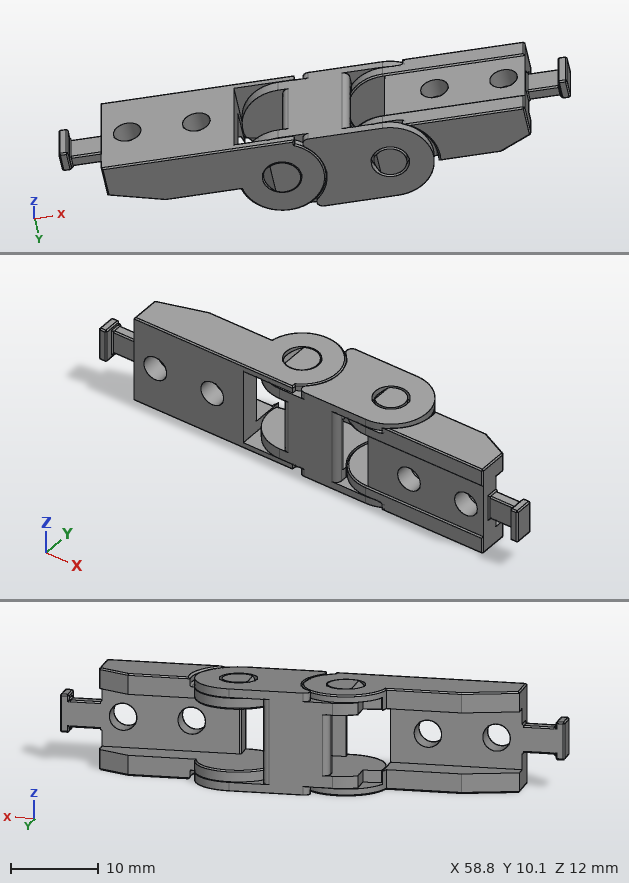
import cadquery as cq
import math


half_width = 6.0
radius = 5.0
cheek_inner = 5.0
channel_half = 3.6
clearance = 0.09
hinge_gap = 0.1
edge_chamfer = 0.2
pivot_spacing = 12.5

left_half_width = 5.95
leaf_height = 5.95
leaf_end_height = 4.05
floor_thickness = 2.6
left_length = 20.0
left_taper = 6.35
left_shift = (0, 0.05, 0.05)
left_window_start = -4.65
left_toe = 2.3
right_length = 16.45
right_taper = 3.8
right_floor_start = 0.25
right_recess_gap = 0.5
recess_round = 0.25
strip_depth = 0.2
screw_diameter = 3.2
left_screws = (-17.0, -9.0)
right_screws = (6.0, 14.0)

left_hook_reach = 4.95
right_hook_reach = 4.9
hook_neck_half_width = 1.6
hook_neck_thickness = 1.4
hook_head_half_width = 2.25
hook_head_length = 1.05
hook_chamfer = 0.2
root_flare = 0.2

front_web_thickness = 1.05
back_web_thickness = 1.5
web_round = 0.75
web_start = 0.9
web_end = 8.65
nose_radius = 0.7
knuckle_offset = 0.45
notch_x = -2.3
notch_y = 1.6
notch_rim_y = 1.2

left_boss_radius = 2.1
left_hole_radius = 2.25
left_ramp_start = -1.05
right_boss_radius = 1.9
right_hole_radius = 2.2
right_ramp_start = -1.35
ramp_depth = 0.4


def block(x0, x1, y0, y1, z0, z1):
    return cq.Workplane("XY").box(x1 - x0, y1 - y0, z1 - z0, centered=False).translate((x0, y0, z0))


def prism(outline, z0, z1):
    """Extrude a Workplane outline between two heights."""
    return outline.extrude(z1 - z0).translate((0, 0, z0))


def disc(x, r, z0, z1):
    return prism(cq.Workplane("XY").center(x, 0).circle(r), z0, z1)


def both_sides(solid):
    return solid.union(solid.mirror("XY"))


def boss(x, r, ramp_start):
    """Hinge boss on the +Z side, with a lead-in ramp toward -X."""
    pin = disc(x, r, cheek_inner, half_width)
    ramp = (
        cq.Workplane("XZ")
        .moveTo(x + ramp_start, half_width)
        .lineTo(x - r, half_width)
        .lineTo(x - r, half_width - ramp_depth)
        .close()
        .extrude(r, both=True)
    )
    return pin.cut(ramp)


def leaf_bar(hinge_end, end, taper, half):
    """Full-width bar whose back slopes down toward its outer end."""
    slope_start = end - math.copysign(taper, end - hinge_end)
    outline = cq.Workplane("XY").polyline([
        (hinge_end, -radius),
        (end, -radius),
        (end, leaf_end_height - radius),
        (slope_start, leaf_height - radius),
        (hinge_end, leaf_height - radius),
    ]).close()
    return prism(outline, -half, half)


def neck_section(x, top, growth):
    """Neck outline at x, grown at the sides and underside but not at the top."""
    bottom = top - hook_neck_thickness - growth
    half = hook_neck_half_width + growth
    return cq.Wire.makePolygon([
        cq.Vector(x, bottom, -half),
        cq.Vector(x, top, -half),
        cq.Vector(x, top, half),
        cq.Vector(x, bottom, half),
    ], close=True)


def neck_root(wall, direction, top):
    """Flare of a hook neck, widest at the wall it meets."""
    wide = neck_section(wall, top, root_flare)
    slim = neck_section(wall + direction * root_flare, top, 0)
    return cq.Workplane(cq.Solid.makeLoft([wide, slim], True))


def hook(end, reach):
    """Neck with a wider hooked head on the end face at x = end."""
    tip = end + reach
    head_back = tip - math.copysign(hook_head_length, reach)
    head_top = floor_thickness - radius
    head_middle = (head_back + tip) / 2
    neck = block(
        min(end, head_middle), max(end, head_middle), head_top - hook_neck_thickness, head_top,
        -hook_neck_half_width, hook_neck_half_width,
    ).edges("|X").chamfer(hook_chamfer)
    head = block(
        min(head_back, tip), max(head_back, tip), -radius, head_top,
        -hook_head_half_width, hook_head_half_width,
    ).edges().chamfer(hook_chamfer)
    outward = math.copysign(1, reach)
    flares = neck_root(end, outward, head_top).union(neck_root(head_back, -outward, head_top))
    return neck.union(head).union(flares)


def screw_holes(places):
    return (
        cq.Workplane("XZ")
        .pushPoints([(x, 0) for x in places])
        .circle(screw_diameter / 2)
        .extrude(radius, both=True)
    )


def make_left_leaf():
    window_half = cheek_inner + clearance
    bar = leaf_bar(0, -left_length, left_taper, left_half_width)
    toe = block(0, left_toe, -radius, 0, -left_half_width, left_half_width)
    leaf = bar.union(toe).union(disc(0, radius, -left_half_width, left_half_width)).clean()
    leaf = leaf.faces("<Z or >Z").edges().chamfer(edge_chamfer)
    leaf = leaf.cut(block(
        left_window_start, radius, -radius, radius, -window_half, window_half))
    leaf = leaf.cut(block(
        -left_length, left_window_start, floor_thickness - radius, radius, -channel_half, channel_half))
    leaf = leaf.cut(disc(0, left_hole_radius, -half_width, half_width))
    leaf = leaf.cut(screw_holes(left_screws))
    leaf = leaf.union(hook(-left_length, -left_hook_reach))
    return leaf.translate(left_shift)


def cheek_recess():
    """Room for one left-leaf cheek, leaving rounded noses on the link beside it."""
    recess_radius = radius + hinge_gap
    nose_y = radius - nose_radius
    nose_x = math.sqrt((recess_radius + nose_radius) ** 2 - nose_y ** 2)
    blend = recess_radius / (recess_radius + nose_radius)
    tangent = (nose_x * blend, nose_y * blend)
    nose_mid = (nose_x - nose_radius, nose_y)
    nose_top = (nose_x, radius)
    far = -2 * radius
    outline = (
        cq.Workplane("XY")
        .moveTo(far, -radius)
        .lineTo(nose_top[0], -nose_top[1])
        .threePointArc((nose_mid[0], -nose_mid[1]), (tangent[0], -tangent[1]))
        .threePointArc((recess_radius, 0), tangent)
        .threePointArc(nose_mid, nose_top)
        .lineTo(far, radius)
        .close()
    )
    return prism(outline, cheek_inner, half_width)


def make_link():
    left_end = knuckle_offset - radius
    right_end = pivot_spacing + radius
    outline = (
        cq.Workplane("XY")
        .moveTo(knuckle_offset, -radius)
        .lineTo(pivot_spacing, -radius)
        .threePointArc((right_end, 0), (pivot_spacing, radius))
        .lineTo(knuckle_offset, radius)
        .threePointArc((left_end, 0), (knuckle_offset, -radius))
        .close()
    )
    link = prism(outline, -half_width, half_width)
    link = link.cut(both_sides(cheek_recess()))

    left_channel = block(
        left_end, web_start, -radius, radius, -channel_half, channel_half)
    right_channel = block(
        web_end, right_end, -radius, radius, -cheek_inner, cheek_inner)
    link = link.cut(left_channel).cut(right_channel)
    for x in (web_start, web_end):
        for y in (-radius, radius):
            link = link.edges(cq.selectors.NearestToPointSelector((x, y, 0))).fillet(web_round)

    link = link.cut(block(
        0, web_end, front_web_thickness - radius, radius - back_web_thickness, -channel_half, channel_half))
    link = link.cut(disc(pivot_spacing, radius + hinge_gap, -cheek_inner, cheek_inner))

    notch = cq.Workplane("XY").polyline([
        (notch_x, radius),
        (notch_x, notch_y),
        (left_end, notch_rim_y),
        (left_end, radius),
    ]).close()
    link = link.cut(prism(notch, -half_width, half_width))
    link = link.cut(disc(pivot_spacing, right_hole_radius, -half_width, half_width))
    return link.union(both_sides(boss(0, left_boss_radius, left_ramp_start)))


def front_strip():
    """Bevelled strip removed from the front of the right leaf, as wide as the channel."""
    front_half = channel_half + strip_depth
    outline = cq.Workplane("YZ").polyline([
        (-radius, -front_half),
        (strip_depth - radius, -channel_half),
        (strip_depth - radius, channel_half),
        (-radius, front_half),
    ]).close()
    return outline.extrude(right_length)


def make_right_leaf():
    """Built about its own hinge axis, then moved into place."""
    knuckle_half = cheek_inner - clearance
    recess_radius = radius + right_recess_gap
    leaf = leaf_bar(0, right_length, right_taper, half_width)
    leaf = leaf.faces("<Z or >Z or >X").edges("not <X").chamfer(edge_chamfer)

    recess = disc(0, recess_radius, knuckle_half, half_width).faces("<Z").edges().fillet(recess_round)
    rim = (
        cq.Workplane("XY").workplane(offset=half_width - recess_round)
        .circle(recess_radius)
        .workplane(offset=recess_round)
        .circle(recess_radius + recess_round)
        .loft()
    )
    leaf = leaf.cut(both_sides(recess.union(rim)))
    leaf = leaf.cut(block(
        -radius, right_floor_start, -radius, radius, -channel_half, channel_half))
    leaf = leaf.cut(block(
        right_floor_start, right_length, floor_thickness - radius, radius, -channel_half, channel_half))
    floor_edge = cq.selectors.NearestToPointSelector((right_floor_start, floor_thickness - radius, 0))
    leaf = leaf.edges(floor_edge).chamfer(edge_chamfer)
    leaf = leaf.cut(front_strip())
    knuckle = disc(0, radius, channel_half, knuckle_half).faces("<Z").edges().chamfer(strip_depth)
    leaf = leaf.union(both_sides(knuckle))
    leaf = leaf.cut(screw_holes(right_screws))
    leaf = leaf.union(both_sides(boss(0, right_boss_radius, right_ramp_start).union(
        disc(0, right_boss_radius, knuckle_half, cheek_inner))))
    leaf = leaf.union(hook(right_length, right_hook_reach))
    return leaf.translate((pivot_spacing, 0, 0))


left_leaf = make_left_leaf()
link = make_link()
right_leaf = make_right_leaf()

result = cq.Compound.makeCompound([left_leaf.val(), link.val(), right_leaf.val()])